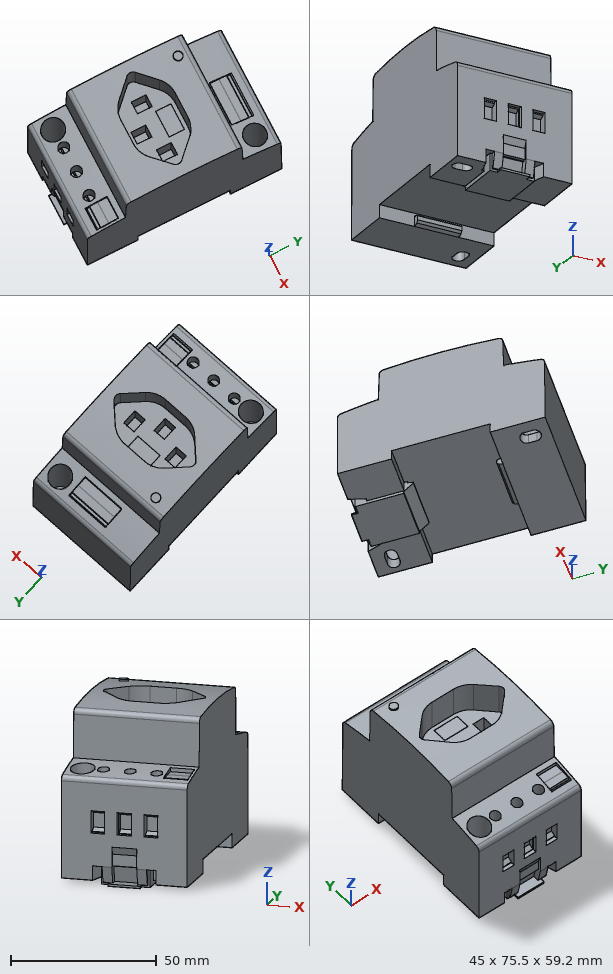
import cadquery as cq
import math


width = 45.0
front_y = -37.4
back_y = 37.4
back_foot_y = 37.7
step_base_y = 22.65
step_top_y = 22.3
crown_z = 57.6
crown_radius = 173.6
shoulder_crown_z = 40.6
shoulder_radius = crown_radius - (crown_z - shoulder_crown_z)
shoulder_edge_radius = 2.0
crown_edge_radius = 2.05

channel_half = 17.8
channel_height = 5.05
nose_reach = 2.2
nose_half_width = 8.7

socket_flat_half = 10.5
socket_diagonal = 19.1
socket_shoulder_radius = 9.4
socket_tip_radius = 2.3
socket_floor_z = 44.1
pin_width, pin_length, pin_depth = 4.7, 5.65, 9.05
pin_centres = [(-9.5, 0), (9.5, 0), (0, -5.0)]
shutter_width, shutter_length, shutter_height = 10.2, 5.9, 0.1
shutter_y = 6.05

lamp_x, lamp_y = -16.1, 17.35
lamp_diameter = 3.4
lamp_height = 0.6
lamp_root = 0.75

front_mount_x, back_mount_x = -16.8, 16.4
mount_y = 30.4
mount_bore = 8.5
mount_slot_length, mount_slot_width = 7.5, 4.5

terminal_pitch = 9.5
terminal_xs = [-terminal_pitch, 0, terminal_pitch]
screw_y = -30.05
screw_diameter = 4.1
screw_head_z = 30.2
screw_slot_width, screw_slot_depth = 0.5, 0.6
window_bottom_z, window_top_z = 16.75, 24.7
window_width, middle_window_width = 4.75, 5.05
throat_width, middle_throat_width = 4.75, 4.45
window_depth, throat_depth = 1.4, 3.2
throat_entry_bottom_z, throat_entry_top_z = 17.05, 24.15
throat_end_bottom_z, throat_end_top_z = 18.1, 23.3

label_inner_y, label_outer_y = 24.8, 33.3
front_label_x = (12.8, 21.4)
back_label_x = (-7.0, 9.8)

clip_half_width = 8.7
clip_front_y = -35.5
clip_bottom_z = -1.6
lip_half_width = 5.7
lip_front_y = -37.8
lip_top_z = -0.75
notch_height = 5.1
notch_outer_half, notch_inner_half = 11.3, 9.5
notch_back_y = -31.3
guide_half_width = 7.9
guide_bottom_y = -36.15
tool_half_width = 4.45

CUT_MARGIN = 3.8


def arc_z(crown, radius, y):
    """Height at y of an arc whose highest point is (0, crown)."""
    return crown - radius + math.sqrt(radius ** 2 - y ** 2)


def crown_at(y):
    return arc_z(crown_z, crown_radius, y)


def shoulder_at(y):
    return arc_z(shoulder_crown_z, shoulder_radius, y)


def box(x_range, y_range, z_range):
    size = [high - low for low, high in (x_range, y_range, z_range)]
    return cq.Workplane("XY").box(*size, centered=False).translate((x_range[0], y_range[0], z_range[0]))


def side_prism(points, x_low, x_high):
    """Prism along X with a (y, z) outline."""
    return cq.Workplane("YZ").workplane(offset=x_low).polyline(points).close().extrude(x_high - x_low)


def make_housing():
    shoulder_mid = (step_base_y + back_y) / 2
    outline = (
        cq.Workplane("YZ").workplane(offset=-width / 2)
        .moveTo(front_y, 0)
        .lineTo(front_y, shoulder_at(front_y))
        .threePointArc((-shoulder_mid, shoulder_at(shoulder_mid)), (-step_base_y, shoulder_at(step_base_y)))
        .lineTo(-step_top_y, crown_at(step_top_y))
        .threePointArc((0, crown_z), (step_top_y, crown_at(step_top_y)))
        .lineTo(step_base_y, shoulder_at(step_base_y))
        .threePointArc((shoulder_mid, shoulder_at(shoulder_mid)), (back_y, shoulder_at(back_y)))
        .lineTo(back_foot_y, 0)
        .lineTo(channel_half, 0)
        .lineTo(channel_half, channel_height)
        .lineTo(-channel_half, channel_height)
        .lineTo(-channel_half, 0)
        .close()
    )
    housing = outline.extrude(width)
    rounded_edges = [
        (front_y, shoulder_at(front_y), shoulder_edge_radius),
        (-step_top_y, crown_at(step_top_y), crown_edge_radius),
        (step_top_y, crown_at(step_top_y), crown_edge_radius),
        (back_y, shoulder_at(back_y), shoulder_edge_radius),
    ]
    for y, z, radius in rounded_edges:
        housing = housing.edges(cq.selectors.NearestToPointSelector((0, y, z))).fillet(radius)
    return housing


def make_nose():
    """Fixed nose that holds the rail, on the back wall of the channel."""
    root = channel_half + 0.75
    tip = channel_half - nose_reach
    shoulder = tip + 0.7
    nose_top_z = 3.9
    outline = [
        (root, 0),
        (channel_half, 0),
        (shoulder, 0.7),
        (tip, 1.6),
        (tip, 3.2),
        (shoulder, 3.7),
        (channel_half, nose_top_z),
        (root, nose_top_z),
    ]
    return side_prism(outline, -nose_half_width, nose_half_width)


def make_plug_recess():
    flat_corner = socket_diagonal - socket_flat_half
    corners = [
        (socket_diagonal, 0),
        (flat_corner, socket_flat_half),
        (-flat_corner, socket_flat_half),
        (-socket_diagonal, 0),
        (-flat_corner, -socket_flat_half),
        (flat_corner, -socket_flat_half),
    ]
    height = crown_z + CUT_MARGIN - socket_floor_z
    recess = cq.Workplane("XY").workplane(offset=socket_floor_z).polyline(corners).close().extrude(height)
    recess = recess.edges("|Z and (>X or <X)").fillet(socket_tip_radius)
    for x in (-flat_corner, flat_corner):
        for y in (-socket_flat_half, socket_flat_half):
            corner = cq.selectors.NearestToPointSelector((x, y, socket_floor_z + height / 2))
            recess = recess.edges(corner).fillet(socket_shoulder_radius)
    shutter = cq.Workplane("XY").box(shutter_width, shutter_length, 2 * shutter_height)
    recess = recess.cut(shutter.translate((0, shutter_y, socket_floor_z)))
    pins = (
        cq.Workplane("XY").workplane(offset=socket_floor_z)
        .pushPoints(pin_centres).rect(pin_width, pin_length).extrude(-pin_depth)
    )
    return recess.union(pins)


def make_lamp():
    """Short round lens standing square to the crowned top."""
    normal = cq.Vector(0, lamp_y, crown_at(lamp_y) - crown_z + crown_radius)
    plane = cq.Plane(origin=(lamp_x, lamp_y, crown_at(lamp_y)), xDir=(1, 0, 0), normal=normal)
    outline = cq.Workplane(plane).workplane(offset=-lamp_root).circle(lamp_diameter / 2)
    return outline.extrude(lamp_root + lamp_height)


def make_mount_hole(x, y, slot_angle):
    bore = cq.Workplane("XY").workplane(offset=channel_height).center(x, y).circle(mount_bore / 2)
    slot = cq.Workplane("XY").center(x, y).slot2D(mount_slot_length, mount_slot_width, slot_angle)
    return bore.extrude(shoulder_crown_z - channel_height).union(slot.extrude(shoulder_crown_z))


def make_screw_hole(x):
    hole = cq.Workplane("XY").workplane(offset=screw_head_z).center(x, screw_y).circle(screw_diameter / 2)
    hole = hole.extrude(shoulder_crown_z - screw_head_z)
    slot = cq.Workplane("XY").workplane(offset=screw_head_z).center(x, screw_y)
    slot = slot.rect(screw_diameter, screw_slot_width).extrude(-screw_slot_depth)
    return hole.union(slot)


def make_wire_window(x):
    """Entry window with a throat that narrows towards the terminal."""
    outer_width = window_width if x else middle_window_width
    inner_width = throat_width if x else middle_throat_width
    step_y = front_y + window_depth
    window = box((x - outer_width / 2, x + outer_width / 2), (front_y - CUT_MARGIN, step_y),
                 (window_bottom_z, window_top_z))
    throat_back_y = front_y + throat_depth
    throat = [(step_y, throat_entry_bottom_z), (throat_back_y, throat_end_bottom_z),
              (throat_back_y, throat_end_top_z), (step_y, throat_entry_top_z)]
    return window.union(side_prism(throat, x - inner_width / 2, x + inner_width / 2))


def make_label_pocket(x_range):
    """Front pocket: a gently bent seat with a deeper trench along its outer edge."""
    seat_bend_y, seat_end_y = 28.45, 31.55
    rim_chamfer = 0.5
    trench_wall_y = label_outer_y - rim_chamfer
    trench_z = 35.5
    seat_inner_z, seat_bend_z, seat_end_z = 37.2, 37.05, 36.75
    outline = [
        (-label_inner_y, shoulder_crown_z),
        (-label_inner_y, seat_inner_z),
        (-seat_bend_y, seat_bend_z),
        (-seat_end_y, seat_end_z),
        (-seat_end_y, trench_z),
        (-trench_wall_y, trench_z),
        (-trench_wall_y, shoulder_at(label_outer_y) - rim_chamfer),
        (-label_outer_y, shoulder_at(label_outer_y)),
        (-label_outer_y, shoulder_crown_z),
    ]
    return side_prism(outline, *x_range)


def make_clip_notch():
    """Opening in the front foot with flared sides, which receives the clip."""
    flare = (notch_outer_half - notch_inner_half) / (notch_back_y - front_y)
    open_y = front_y - CUT_MARGIN
    open_half = notch_outer_half + flare * CUT_MARGIN
    outline = [(-open_half, open_y), (open_half, open_y),
               (notch_inner_half, notch_back_y), (-notch_inner_half, notch_back_y)]
    return cq.Workplane("XY").polyline(outline).close().extrude(notch_height)


def make_clip():
    hook_tip_y = -14.5
    hook_neck_y = -16.6
    bar_end_y = -18.0
    hook_base_z = -0.5
    hook_tip_bottom_z, hook_tip_top_z, hook_neck_z = 3.2, 3.7, 4.4
    outline = [
        (clip_front_y, clip_bottom_z),
        (bar_end_y, clip_bottom_z),
        (bar_end_y, hook_base_z),
        (hook_tip_y, hook_tip_bottom_z),
        (hook_tip_y, hook_tip_top_z),
        (hook_neck_y, hook_neck_z),
        (hook_neck_y, channel_height),
        (clip_front_y, channel_height),
    ]
    clip = side_prism(outline, -clip_half_width, clip_half_width)
    guide = [(clip_front_y, notch_height), (front_y, notch_height),
             (guide_bottom_y, lip_top_z), (clip_front_y, lip_top_z)]
    return clip.union(side_prism(guide, -guide_half_width, guide_half_width))


def make_lip():
    return box((-lip_half_width, lip_half_width), (lip_front_y, clip_front_y), (clip_bottom_z, lip_top_z))


def make_tool_recess():
    """Screwdriver access above the lip, with a sloped top and a deeper, sloped lower part."""
    back_y_upper = front_y + 1.0
    ledge_y = front_y + 2.35
    back_y_lower = front_y + 3.6
    recess_top_z, slope_end_z, ledge_z = 12.3, 9.6, 5.35
    outline = [
        (front_y, recess_top_z),
        (back_y_upper, slope_end_z),
        (back_y_upper, ledge_z),
        (ledge_y, ledge_z),
        (back_y_lower, lip_top_z),
        (front_y, lip_top_z),
    ]
    return side_prism(outline, -tool_half_width, tool_half_width)


housing = make_housing().union(make_nose()).union(make_lamp())
housing = housing.cut(make_plug_recess())
housing = housing.cut(make_mount_hole(front_mount_x, -mount_y, 0))
housing = housing.cut(make_mount_hole(back_mount_x, mount_y, 90))
for terminal_x in terminal_xs:
    housing = housing.cut(make_screw_hole(terminal_x))
    housing = housing.cut(make_wire_window(terminal_x))
housing = housing.cut(make_label_pocket(front_label_x))
housing = housing.cut(make_label_pocket(back_label_x).mirror("XZ"))
housing = housing.cut(make_clip_notch())

result = housing.union(make_clip()).cut(make_tool_recess()).union(make_lip())